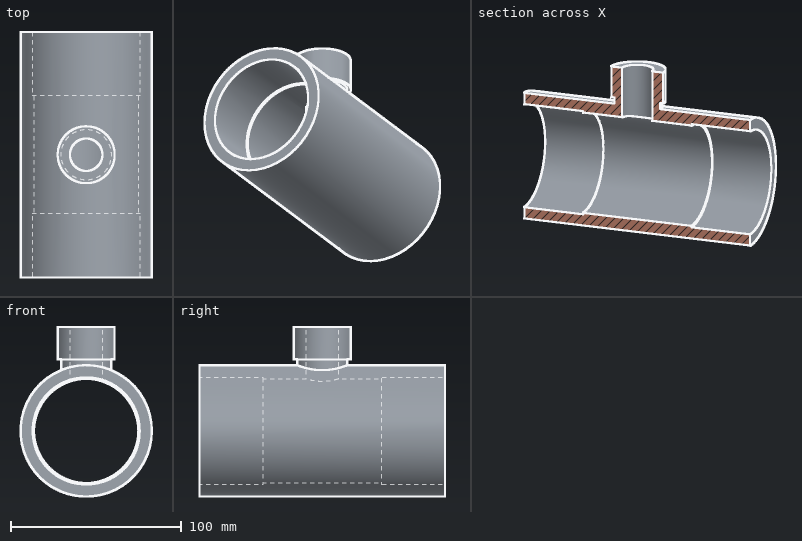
import cadquery as cq

pipe_length = 144.0
pipe_diameter = 77.0
socket_diameter = 62.8
bore_diameter = 61.0
socket_depth = 37.5

overall_height = 99.5
branch_top = overall_height - pipe_diameter / 2
collar_diameter = 33.4
collar_height = 19.0
neck_diameter = 29.5
branch_bore_diameter = 19.0


def cylinder_along_y(diameter, length, y_start):
    """Solid cylinder on the pipe axis, running toward +Y from y_start."""
    origin = (0, y_start, 0)
    plane = cq.Plane(origin=origin, xDir=(1, 0, 0), normal=(0, 1, 0))
    return cq.Workplane(plane).circle(diameter / 2).extrude(length)


def cylinder_along_z(diameter, z_bottom, z_top):
    """Solid cylinder on the branch axis between two heights."""
    return cq.Workplane("XY").workplane(offset=z_bottom).circle(diameter / 2).extrude(z_top - z_bottom)


body = cylinder_along_y(pipe_diameter, pipe_length, -pipe_length / 2)
body = body.union(cylinder_along_z(neck_diameter, 0, branch_top))
body = body.union(cylinder_along_z(collar_diameter, branch_top - collar_height, branch_top))

body = body.cut(cylinder_along_y(bore_diameter, pipe_length, -pipe_length / 2))
for socket_start in (-pipe_length / 2, pipe_length / 2 - socket_depth):
    body = body.cut(cylinder_along_y(socket_diameter, socket_depth, socket_start))

result = body.cut(cylinder_along_z(branch_bore_diameter, 0, branch_top))